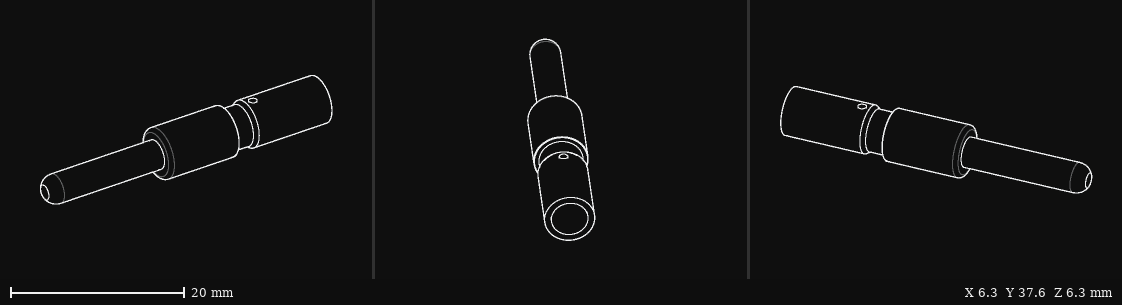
import cadquery as cq
import math

length = 37.6

pin_diameter = 3.6
tip_flat_diameter = 1.8

collar_diameter = 6.3
collar_front = 15.3
collar_back = 24.75
collar_front_round = 0.5
collar_back_chamfer = 0.08

neck_diameter = 5.1

barrel_diameter = 5.83
barrel_length = 10.0
barrel_taper_length = 0.55

bore_diameter = 4.25
bore_depth = barrel_length
inspection_hole_diameter = 1.0
inspection_hole_y = 28.58

pin_radius = pin_diameter / 2
collar_radius = collar_diameter / 2
neck_radius = neck_diameter / 2
barrel_radius = barrel_diameter / 2
barrel_front = length - barrel_length


def make_turned_body():
    """Revolve the half outline (radius along X) about the Y axis."""
    tip_flat_radius = tip_flat_diameter / 2
    ball_center_y = math.sqrt(pin_radius**2 - tip_flat_radius**2)
    tip_mid_angle = math.acos(tip_flat_radius / pin_radius) / 2
    tip_mid = (
        pin_radius * math.cos(tip_mid_angle),
        ball_center_y - pin_radius * math.sin(tip_mid_angle),
    )
    outline = (
        cq.Workplane("XY")
        .lineTo(tip_flat_radius, 0)
        .threePointArc(tip_mid, (pin_radius, ball_center_y))
        .lineTo(pin_radius, collar_front)
        .lineTo(collar_radius - collar_front_round, collar_front)
        .tangentArcPoint((collar_radius, collar_front + collar_front_round), relative=False)
        .lineTo(collar_radius, collar_back - collar_back_chamfer)
        .lineTo(collar_radius - collar_back_chamfer, collar_back)
        .lineTo(neck_radius, collar_back)
        .lineTo(neck_radius, barrel_front - barrel_taper_length)
        .lineTo(barrel_radius, barrel_front)
        .lineTo(barrel_radius, length)
        .lineTo(0, length)
        .close()
    )
    return outline.revolve(360, (0, 0, 0), (0, 1, 0))


def make_wire_bore():
    """Blind bore for the wire, open at the barrel end."""
    return (
        cq.Workplane("XZ", origin=(0, length, 0))
        .circle(bore_diameter / 2)
        .extrude(bore_depth)
    )


def make_inspection_hole():
    """Hole through the upper barrel wall into the bore."""
    return (
        cq.Workplane("XY", origin=(0, inspection_hole_y, 0))
        .circle(inspection_hole_diameter / 2)
        .extrude(barrel_radius)
    )


result = make_turned_body().cut(make_wire_bore()).cut(make_inspection_hole())